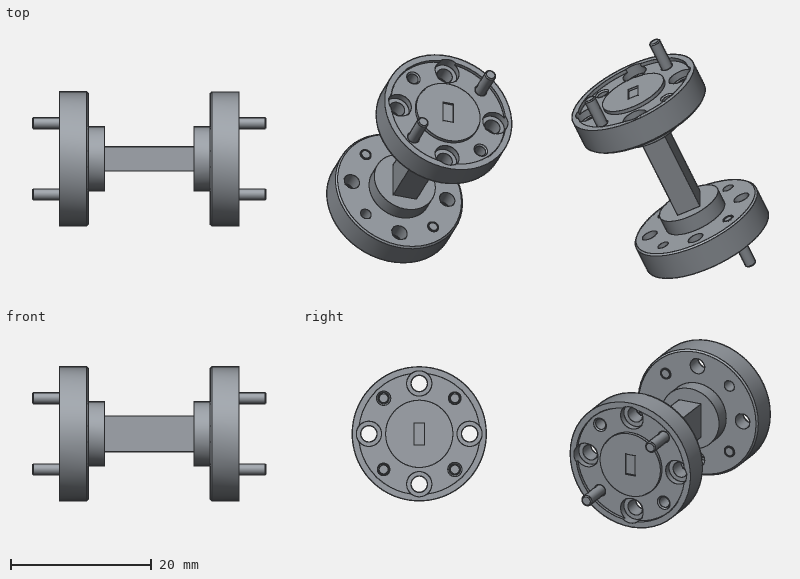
import cadquery as cq
import math

overall_length = 33.15
pin_projection = 3.8
face_x = overall_length / 2 - pin_projection

flange_diameter = 19.05
flange_thickness = 4.1
back_chamfer = 0.25
hub_diameter = 9.15
hub_length = 2.32

recess_diameter = 17.25
recess_depth = 0.53
boss_diameter = 9.55
pin_relief_diameter = 3.02

guide_width = 3.48
guide_height = 5.1
aperture_width = 1.55
aperture_height = 3.1
aperture_depth = 0.3

bolt_circle_diameter = 14.3
screw_hole_diameter = 2.3
counterbore_diameter = 3.58
counterbore_depth = 1.6
screw_angles = (0, 90, 180, 270)

pin_diameter = 1.6
pin_chamfer = 0.15
pin_seat_mouth_diameter = 1.8
mouth_angle = 45
mating_hole_mouth_diameter = 2.02
pin_angles = (135, 315)
mating_hole_angles = (45, 225)
pin_length = pin_projection + flange_thickness

recess_floor_x = recess_depth - face_x
flange_back_x = flange_thickness - face_x


def cross_section(x):
    """Workplane normal to +X at x, with local X along +Y and local Y along +Z."""
    return cq.Workplane("YZ", origin=(x, 0, 0))


def on_bolt_circle(angles):
    """Local points on the bolt circle at the given angles in degrees."""
    return [
        (
            bolt_circle_diameter / 2 * math.cos(math.radians(angle)),
            bolt_circle_diameter / 2 * math.sin(math.radians(angle)),
        )
        for angle in angles
    ]


def cylinders(x, diameter, length, angles):
    """Cylinders along +X from x, at the given angles on the bolt circle."""
    return cross_section(x).pushPoints(on_bolt_circle(angles)).circle(diameter / 2).extrude(length)


def hole_mouths(mouth_diameter, angles):
    """Cones that break the edges of pin-size holes at the recess floor."""
    depth = (mouth_diameter - pin_diameter) / 2
    return (
        cross_section(recess_floor_x)
        .pushPoints(on_bolt_circle(angles))
        .circle(mouth_diameter / 2)
        .extrude(depth, taper=mouth_angle)
    )


def opposite_end(shape):
    """The same shape at the other end, by a half turn about Z."""
    return shape.rotate((0, 0, 0), (0, 0, 1), 180)


def make_face_recess():
    """Annular recess, widened around the pin places, with the central boss left standing."""
    boss = cross_section(-face_x).circle(boss_diameter / 2).extrude(recess_depth)
    recess = cross_section(-face_x).circle(recess_diameter / 2).extrude(recess_depth)
    reliefs = cylinders(-face_x, pin_relief_diameter, recess_depth, pin_angles + mating_hole_angles)
    return recess.union(reliefs).cut(boss)


def make_flange():
    """Flange at the -X end, with its hub, recess and holes."""
    disc = (
        cross_section(-face_x)
        .circle(flange_diameter / 2)
        .extrude(flange_thickness)
        .faces(">X")
        .chamfer(back_chamfer)
    )
    hub = cross_section(flange_back_x).circle(hub_diameter / 2).extrude(hub_length)
    aperture = cross_section(-face_x).rect(aperture_width, aperture_height).extrude(aperture_depth)
    return (
        disc.cut(make_face_recess())
        .cut(cylinders(-face_x, screw_hole_diameter, flange_thickness, screw_angles))
        .cut(cylinders(-face_x, counterbore_diameter, counterbore_depth, screw_angles))
        .cut(cylinders(-face_x, pin_diameter, flange_thickness, pin_angles + mating_hole_angles))
        .cut(hole_mouths(pin_seat_mouth_diameter, pin_angles))
        .cut(hole_mouths(mating_hole_mouth_diameter, mating_hole_angles))
        .cut(aperture)
        .union(hub)
    )


def make_waveguide():
    """Rectangular guide joined to a flange at each end."""
    inner_length = 2 * (face_x - flange_thickness - hub_length)
    guide = cq.Workplane("XY").box(inner_length, guide_width, guide_height)
    flange = make_flange()
    return guide.union(flange).union(opposite_end(flange))


def make_pin(y, z):
    """Alignment pin of the -X flange at (y, z), with both ends chamfered."""
    pin = (
        cq.Workplane("YZ", origin=(-overall_length / 2, y, z))
        .circle(pin_diameter / 2)
        .extrude(pin_length)
    )
    return pin.faces("<X or >X").chamfer(pin_chamfer)


waveguide = make_waveguide().solids()

pins = []
for pin_y, pin_z in on_bolt_circle(pin_angles):
    pin = make_pin(pin_y, pin_z)
    pins.append(pin.solids().val())
    pins.append(opposite_end(pin).solids().val())

result = cq.Compound.makeCompound([waveguide.val(), *pins])